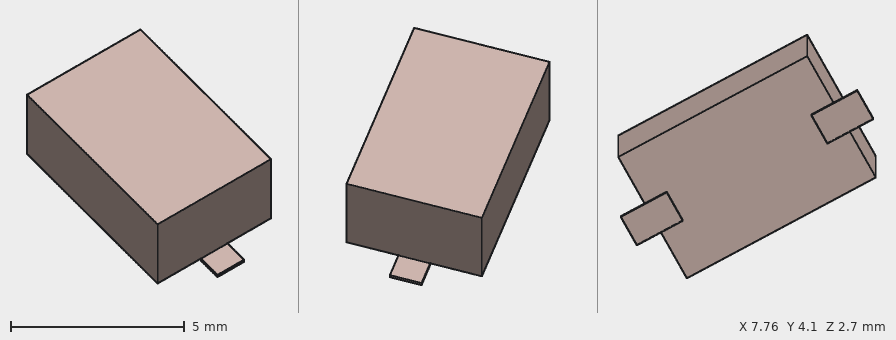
import cadquery as cq

housing_length = 6.2
housing_width = 4.1
housing_height = 2.6

lead_span = 7.76
lead_length = 1.51
lead_width = 0.96
lead_thickness = 0.1


def make_housing():
    """Plain block resting on top of the leads."""
    return (
        cq.Workplane("XY")
        .workplane(offset=lead_thickness)
        .rect(housing_length, housing_width)
        .extrude(housing_height)
    )


def make_lead(side):
    """Flat strip lying at Z = 0, at the -X end (side = -1) or the +X end (side = 1)."""
    center_x = side * (lead_span - lead_length) / 2
    return (
        cq.Workplane("XY")
        .center(center_x, 0)
        .rect(lead_length, lead_width)
        .extrude(lead_thickness)
    )


housing = make_housing()
leads = [make_lead(side) for side in (-1, 1)]

result = cq.Compound.makeCompound([housing.val(), *(lead.val() for lead in leads)])